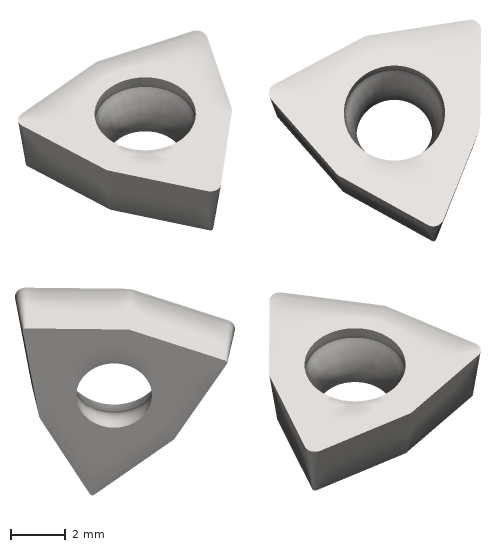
import cadquery as cq
import math

inscribed_radius = 3.175
thickness = 2.38
corner_radius = 0.4
clearance_angle = 7.0
edge_normals = [-90, -70, 30, 50, 150, 170]

recess_diameter = 3.745
throat_diameter = 2.8
recess_depth = 0.51
seat_radius = 2.5


def polar(radius, angle):
    """Point at the given distance and direction (degrees) from the hole axis."""
    radians = math.radians(angle)
    return radius * math.cos(radians), radius * math.sin(radians)


def offset(point, distance, angle):
    """Move a point by a distance in a direction."""
    dx, dy = polar(distance, angle)
    return point[0] + dx, point[1] + dy


def rounded_corner(first_normal, second_normal):
    """Start, middle and end of the arc blending two neighbouring edges."""
    half_turn = ((second_normal - first_normal) % 360) / 2
    bisector = first_normal + half_turn
    center_distance = (inscribed_radius - corner_radius) / math.cos(math.radians(half_turn))
    center = polar(center_distance, bisector)
    return [offset(center, corner_radius, angle) for angle in (first_normal, bisector, second_normal)]


def make_body():
    """Six-edged outline, narrowing downward by the clearance angle."""
    next_normals = edge_normals[1:] + edge_normals[:1]
    corners = [rounded_corner(*pair) for pair in zip(edge_normals, next_normals)]
    outline = cq.Workplane("XY", origin=(0, 0, thickness)).moveTo(*corners[-1][-1])
    for start, middle, end in corners:
        outline = outline.lineTo(*start).threePointArc(middle, end)
    return outline.close().extrude(-thickness, taper=clearance_angle)


def make_hole():
    """Revolved cutter whose convex seat runs tangent into the throat."""
    recess_radius = recess_diameter / 2
    throat_radius = throat_diameter / 2
    seat_width = recess_radius - throat_radius
    seat_angle = math.acos(1 - seat_width / seat_radius)
    seat_top = thickness - recess_depth
    seat_bottom = seat_top - seat_radius * math.sin(seat_angle)
    seat_middle = (
        throat_radius + seat_radius * (1 - math.cos(seat_angle / 2)),
        seat_bottom + seat_radius * math.sin(seat_angle / 2),
    )
    return (
        cq.Workplane("XZ")
        .lineTo(throat_radius, 0)
        .lineTo(throat_radius, seat_bottom)
        .threePointArc(seat_middle, (recess_radius, seat_top))
        .lineTo(recess_radius, thickness)
        .lineTo(0, thickness)
        .close()
        .revolve(360, (0, 0, 0), (0, 1, 0))
    )


result = make_body().cut(make_hole())